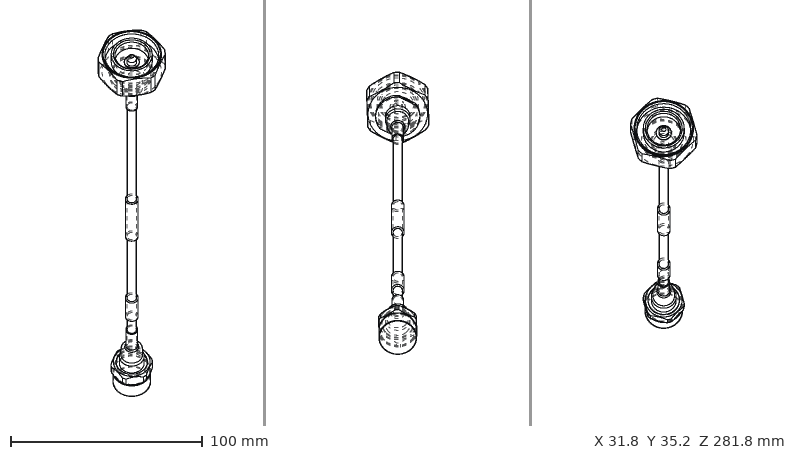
import cadquery as cq
import math

overall_length = 281.8

cable_radius = 2.4
ferrule_radius = 3.0
ferrule_length = 13.5
sleeve_radius = 3.5
long_sleeve_bottom = 125.5
long_sleeve_length = 31.8
short_sleeve_bottom = 56.4
short_sleeve_length = 15.8

wide_barrel_radius = 6.5
narrow_barrel_radius = 5.5
barrel_chamfer_length = 1.5
narrow_barrel_length = 4.8
shoulder_round = 2.0
neck_length = 1.0

large_nut_flats = 31.8
large_nut_corners = 35.2
large_nut_height = 15.0
large_nut_chamfer_radius = 15.5
large_nut_chamfer_angle = 30
large_nut_bore_radius = 14.0
large_nut_bore_chamfer = 0.8
socket_depth = 6.2
collar_radius = 10.1
flange_top_depth = 16.3
flange_thickness = 2.0
flange_radius = 11.5
flange_half_flats = 10.5
large_wide_barrel_length = 5.0
contact_outer_radius = 10.7
contact_bore_radius = 8.7
contact_bore_chamfer = 0.8
pin_radius = 2.5
pin_tip_radius = 1.0
pin_tip_length = 2.3
pin_top_depth = 1.5
pin_clearance_radius = 4.0
pin_clearance_depth = 0.5

small_nut_flats = 19.7
small_nut_corners = 21.7
small_nut_chamfer_radius = 9.5
small_nut_chamfer_angle = 45
small_nut_bottom = 10.0
small_nut_top = 17.2
small_wide_barrel_length = 6.2
shell_top_chamfer = 0.5
shell_rim_chamfer = 0.3
small_nut_recess_radius = 8.2
small_nut_recess_depth = 1.0


def cylinder(radius, bottom, height):
    return cq.Workplane("XY").workplane(offset=bottom).circle(radius).extrude(height)


def revolve_profile(points):
    """Turn an (r, z) outline about the Z axis."""
    return cq.Workplane("XZ").polyline(points).close().revolve(360, (0, 0, 0), (0, 1, 0))


def hex_nut(flats, corners, chamfer_radius, chamfer_angle, bottom, height):
    """Hexagon with flats facing +X and -X, its corners rounded and both ends chamfered."""
    corner_radius = corners / 2
    chamfer_height = (corner_radius - chamfer_radius) * math.tan(math.radians(chamfer_angle))
    top = bottom + height
    prism = (
        cq.Workplane("XY")
        .workplane(offset=bottom)
        .polygon(6, flats, circumscribed=True)
        .extrude(height)
    )
    envelope = revolve_profile([
        (0, bottom),
        (chamfer_radius, bottom),
        (corner_radius, bottom + chamfer_height),
        (corner_radius, top - chamfer_height),
        (chamfer_radius, top),
        (0, top),
    ])
    return prism.intersect(envelope)


def connector_tail(wide_barrel_bottom, wide_barrel_length):
    """Barrels, shoulder, neck and ferrule rising along +Z, bored for the cable; also returns the height
    at which the ferrule and its cable bore begin."""
    narrow_bottom = wide_barrel_bottom + wide_barrel_length
    narrow_top = narrow_bottom + narrow_barrel_length
    neck_bottom = narrow_top + shoulder_round
    ferrule_bottom = neck_bottom + neck_length
    ferrule_top = ferrule_bottom + ferrule_length
    neck_radius = narrow_barrel_radius - shoulder_round
    round_middle = shoulder_round * math.sqrt(0.5)
    profile = (
        cq.Workplane("XZ")
        .moveTo(0, wide_barrel_bottom)
        .lineTo(wide_barrel_radius, wide_barrel_bottom)
        .lineTo(wide_barrel_radius, narrow_bottom - barrel_chamfer_length)
        .lineTo(narrow_barrel_radius, narrow_bottom)
        .lineTo(narrow_barrel_radius, narrow_top)
        .threePointArc(
            (neck_radius + round_middle, narrow_top + round_middle),
            (neck_radius, neck_bottom),
        )
        .lineTo(ferrule_radius, ferrule_bottom)
        .lineTo(ferrule_radius, ferrule_top)
        .lineTo(0, ferrule_top)
        .close()
    )
    tail = profile.revolve(360, (0, 0, 0), (0, 1, 0))
    tail = tail.cut(cylinder(cable_radius, ferrule_bottom, ferrule_length))
    return tail, ferrule_bottom


def make_large_connector():
    nut_bottom = overall_length - large_nut_height
    flange_top = overall_length - flange_top_depth
    flange_bottom = flange_top - flange_thickness

    body = hex_nut(
        large_nut_flats,
        large_nut_corners,
        large_nut_chamfer_radius,
        large_nut_chamfer_angle,
        nut_bottom,
        large_nut_height,
    )

    socket_floor = overall_length - socket_depth
    body = body.cut(cylinder(large_nut_bore_radius, socket_floor, socket_depth))
    mouth = revolve_profile([
        (0, overall_length),
        (large_nut_bore_radius + large_nut_bore_chamfer, overall_length),
        (large_nut_bore_radius, overall_length - large_nut_bore_chamfer),
        (0, overall_length - large_nut_bore_chamfer),
    ])
    body = body.cut(mouth)
    contact = cylinder(contact_outer_radius, socket_floor, socket_depth)
    body = body.union(contact)

    contact_bore = revolve_profile([
        (0, socket_floor),
        (contact_bore_radius, socket_floor),
        (contact_bore_radius, overall_length - contact_bore_chamfer),
        (contact_bore_radius + contact_bore_chamfer, overall_length),
        (0, overall_length),
    ])
    body = body.cut(contact_bore)

    pin_bottom = socket_floor - pin_clearance_depth
    body = body.cut(cylinder(pin_clearance_radius, pin_bottom, pin_clearance_depth))
    pin_top = overall_length - pin_top_depth
    pin = revolve_profile([
        (0, pin_bottom),
        (pin_radius, pin_bottom),
        (pin_radius, pin_top - pin_tip_length),
        (pin_tip_radius, pin_top),
        (0, pin_top),
    ])
    body = body.union(pin)

    collar = cylinder(collar_radius, flange_top, nut_bottom - flange_top)
    flange = cylinder(flange_radius, flange_bottom, flange_thickness).intersect(
        cq.Workplane("XY")
        .workplane(offset=flange_bottom)
        .rect(2 * flange_half_flats, 2 * flange_radius)
        .extrude(flange_thickness)
    )

    tail, ferrule_bottom = connector_tail(0, large_wide_barrel_length)
    tail = tail.rotate((0, 0, 0), (1, 0, 0), 180).translate((0, 0, flange_bottom))
    body = body.union(collar).union(flange).union(tail)
    return body, flange_bottom - ferrule_bottom


def make_small_connector():
    shell_radius = small_nut_flats / 2
    shell = revolve_profile([
        (0, 0),
        (shell_radius - shell_rim_chamfer, 0),
        (shell_radius, shell_rim_chamfer),
        (shell_radius, small_nut_bottom - shell_top_chamfer),
        (shell_radius - shell_top_chamfer, small_nut_bottom),
        (0, small_nut_bottom),
    ])
    nut_height = small_nut_top - small_nut_bottom
    nut = hex_nut(
        small_nut_flats,
        small_nut_corners,
        small_nut_chamfer_radius,
        small_nut_chamfer_angle,
        small_nut_bottom,
        nut_height,
    )

    recess_floor = small_nut_top - small_nut_recess_depth
    nut = nut.cut(cylinder(small_nut_recess_radius, recess_floor, small_nut_recess_depth))
    barrel_length = small_wide_barrel_length + small_nut_recess_depth
    tail, ferrule_bottom = connector_tail(recess_floor, barrel_length)
    return shell.union(nut).union(tail), ferrule_bottom


def make_sleeve(bottom, length):
    return cylinder(sleeve_radius, bottom, length).cut(cylinder(cable_radius, bottom, length))


large_connector, cable_top = make_large_connector()
small_connector, cable_bottom = make_small_connector()
cable = cylinder(cable_radius, cable_bottom, cable_top - cable_bottom)
sleeves = [
    make_sleeve(bottom, length)
    for bottom, length in [
        (long_sleeve_bottom, long_sleeve_length),
        (short_sleeve_bottom, short_sleeve_length),
    ]
]

result = cq.Compound.makeCompound(
    [large_connector.val(), small_connector.val(), cable.val()] + [sleeve.val() for sleeve in sleeves]
)